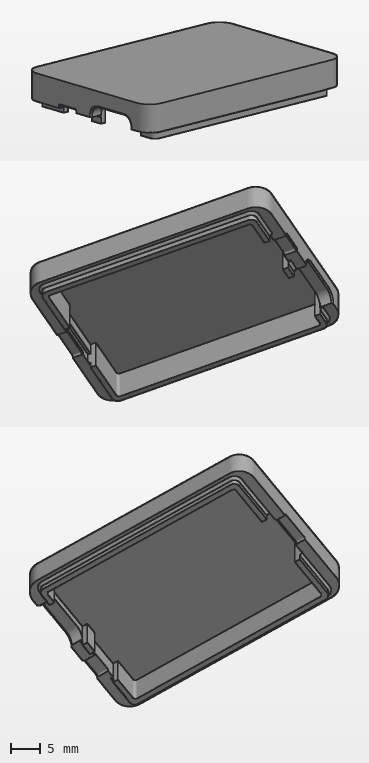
import cadquery as cq

WIDTH = 31.0
LENGTH = 45.4
HEIGHT = 6.6
PLATE_THICKNESS = 5.0
PLATE_CORNER_RADIUS = 3.0
PLATE_BOTTOM = HEIGHT - PLATE_THICKNESS
TOP_SKIN = 1.0
CEILING = HEIGHT - TOP_SKIN

LIP_SIDE_INSET = 1.15
LIP_END_INSET = 2.4
LIP_WALL = 1.0
LIP_CORNER_RADIUS = 1.05
LIP_FLARE = 0.5
LIP_WIDTH = WIDTH - 2 * LIP_SIDE_INSET
LIP_LENGTH = LENGTH - 2 * LIP_END_INSET
CAVITY_WIDTH = LIP_WIDTH - 2 * LIP_WALL
CAVITY_LENGTH = LIP_LENGTH - 2 * LIP_WALL
CAVITY_CORNER_RADIUS = 0.5

SMALL_PORT_X = -4.8
SMALL_GAP_WIDTH = 7.0
LARGE_PORT_X = 6.0
LARGE_GAP_WIDTH = 10.0
REAR_PORT_X = 0.0
REAR_GAP_WIDTH = 10.0
REAR_RECESS_TOP = 3.35
REAR_RECESS_DEPTH = LIP_FLARE

SMALL_NOTCH_WIDTH = 4.0
REAR_NOTCH_WIDTH = 6.0
SHALLOW_NOTCH_HEIGHT = 0.5
SHALLOW_NOTCH_RADIUS = 0.25
SHALLOW_NOTCH_BEVEL = 0.23
LARGE_NOTCH_WIDTH = 9.8
LARGE_NOTCH_HEIGHT = 2.1
LARGE_NOTCH_RADIUS = 1.7
LARGE_NOTCH_BEVEL = 0.25

FRONT = -1
REAR = 1


def block(x_center, width, y_start, y_end, z_start, z_end):
    """Box centred on x_center and spanning the given Y and Z limits."""
    size = (width, y_end - y_start, z_end - z_start)
    box = cq.Workplane("XY").box(*size, centered=(True, False, False))
    return box.translate((x_center, y_start, z_start))


def rounded_slab(width, length, radius, z_start, z_end):
    """Rectangular slab with rounded vertical edges."""
    slab = cq.Workplane("XY").workplane(offset=z_start).rect(width, length).extrude(z_end - z_start)
    return slab.edges("|Z").fillet(radius)


def flared_lip():
    """Lip body that widens at 45 degrees where it meets the plate."""
    body = rounded_slab(LIP_WIDTH, LIP_LENGTH, LIP_CORNER_RADIUS, 0, PLATE_BOTTOM)
    outline = cq.Sketch().rect(LIP_WIDTH, LIP_LENGTH).vertices().fillet(LIP_CORNER_RADIUS)
    flare_base = cq.Workplane("XY").workplane(offset=PLATE_BOTTOM - LIP_FLARE)
    flare = flare_base.placeSketch(outline).extrude(LIP_FLARE, taper=-45)
    return body.union(flare)


def lip_gap(end, x_center, width):
    """Opening through the lip at one end, continued up the inside of the end wall."""
    inner = end * CAVITY_LENGTH / 2
    lip_face = end * LIP_LENGTH / 2
    edge = end * LENGTH / 2
    below_plate = block(x_center, width, min(inner, edge), max(inner, edge), 0, PLATE_BOTTOM)
    inside_wall = block(x_center, width, min(inner, lip_face), max(inner, lip_face), 0, CEILING)
    return below_plate.union(inside_wall)


def arch(x_center, y, width, height, radius):
    """Closed notch outline with rounded upper corners, standing at one Y position."""
    half = width / 2
    return (
        cq.Workplane("XZ", origin=(x_center, y, PLATE_BOTTOM))
        .moveTo(-half, 0)
        .lineTo(-half, height - radius)
        .radiusArc((-half + radius, height), radius)
        .lineTo(half - radius, height)
        .radiusArc((half, height - radius), radius)
        .lineTo(half, 0)
        .close()
    )


def notch(x_center, y_start, y_end, width, height, radius, bevel):
    """Arched notch along Y with a 45 degree bevel around its -Y mouth."""
    passage = arch(x_center, y_start, width, height, radius).extrude(y_start - y_end)
    wide_rim = arch(x_center, y_start, width + 2 * bevel, height + bevel, radius + bevel).wire().val()
    narrow_rim = arch(x_center, y_start + bevel, width, height, radius).wire().val()
    mouth = cq.Solid.makeLoft([wide_rim, narrow_rim], True)
    return passage.union(cq.Workplane(mouth))


result = rounded_slab(WIDTH, LENGTH, PLATE_CORNER_RADIUS, PLATE_BOTTOM, HEIGHT)
result = result.union(flared_lip())
result = result.cut(rounded_slab(CAVITY_WIDTH, CAVITY_LENGTH, CAVITY_CORNER_RADIUS, 0, CEILING))

for end, x_center, gap_width in (
    (FRONT, SMALL_PORT_X, SMALL_GAP_WIDTH),
    (FRONT, LARGE_PORT_X, LARGE_GAP_WIDTH),
    (REAR, REAR_PORT_X, REAR_GAP_WIDTH),
):
    result = result.cut(lip_gap(end, x_center, gap_width))

rear_wall = LIP_LENGTH / 2
rear_recess_wall = rear_wall + REAR_RECESS_DEPTH
result = result.cut(
    block(REAR_PORT_X, REAR_GAP_WIDTH, rear_wall, rear_recess_wall, PLATE_BOTTOM, REAR_RECESS_TOP)
)

shallow_shape = (SHALLOW_NOTCH_HEIGHT, SHALLOW_NOTCH_RADIUS, SHALLOW_NOTCH_BEVEL)
large_shape = (LARGE_NOTCH_HEIGHT, LARGE_NOTCH_RADIUS, LARGE_NOTCH_BEVEL)
front_face = -LENGTH / 2
front_wall = -LIP_LENGTH / 2
rear_face = LENGTH / 2
result = result.cut(notch(SMALL_PORT_X, front_face, front_wall, SMALL_NOTCH_WIDTH, *shallow_shape))
result = result.cut(notch(LARGE_PORT_X, front_face, front_wall, LARGE_NOTCH_WIDTH, *large_shape))
result = result.cut(notch(REAR_PORT_X, rear_recess_wall, rear_face, REAR_NOTCH_WIDTH, *shallow_shape))